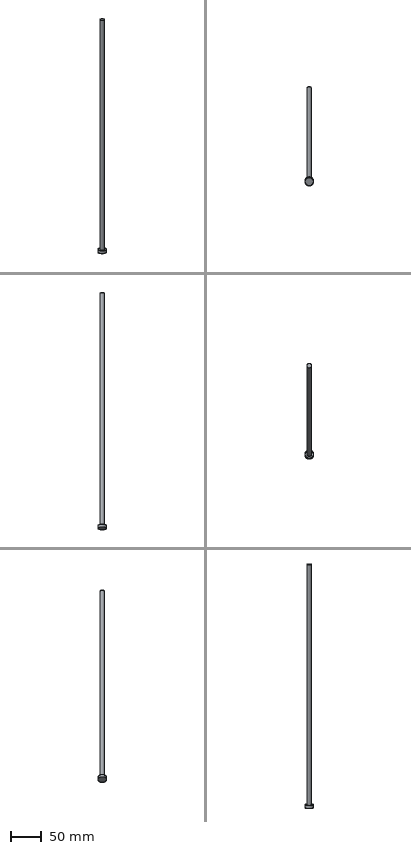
import cadquery as cq

total_length = 405.0
head_diameter = 14.0
head_height = 5.0
shaft_diameter = 8.0
shaft_length = total_length - head_height

head = cq.Workplane("XY").circle(head_diameter / 2).extrude(head_height)

result = head.faces(">Z").workplane().circle(shaft_diameter / 2).extrude(shaft_length)